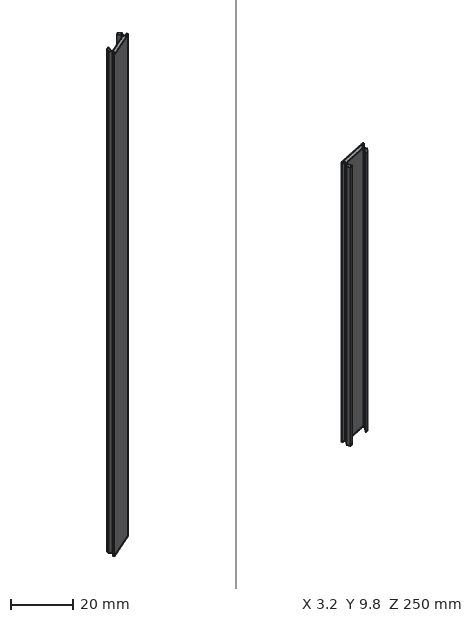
import cadquery as cq
import math

length = 250.0
width = 9.8
depth = 3.2

edge_thickness = 0.6
plate_thickness = 1.2

leg_inner_y = 3.75
hook_end_inner_y = 2.97
hook_end_outer_y = 3.95
hook_slope = math.tan(math.radians(30))

lead_in_run = 0.95
retaining_run = 1.05

front_x = depth / 2
back_x = -depth / 2
edge_back_x = front_x - edge_thickness
plate_back_x = front_x - plate_thickness
barb_tip_x = back_x + lead_in_run
barb_tip_y = hook_end_outer_y + lead_in_run * hook_slope
groove_start_x = barb_tip_x + retaining_run
groove_floor_y = barb_tip_y - retaining_run * hook_slope
leg_inner_start_x = back_x + (leg_inner_y - hook_end_inner_y) / hook_slope


def half_section():
    """Closed outline of the +Y half of the section, starting on the mid-plane."""
    return (
        cq.Workplane("XY", origin=(0, 0, -length / 2))
        .moveTo(front_x, 0)
        .lineTo(front_x, width / 2)
        .lineTo(edge_back_x, width / 2)
        .lineTo(edge_back_x, groove_floor_y)
        .lineTo(groove_start_x, groove_floor_y)
        .lineTo(barb_tip_x, barb_tip_y)
        .lineTo(back_x, hook_end_outer_y)
        .lineTo(back_x, hook_end_inner_y)
        .lineTo(leg_inner_start_x, leg_inner_y)
        .lineTo(plate_back_x, leg_inner_y)
        .lineTo(plate_back_x, 0)
        .close()
    )


half_strip = half_section().extrude(length)
result = half_strip.union(half_strip.mirror("XZ")).clean()